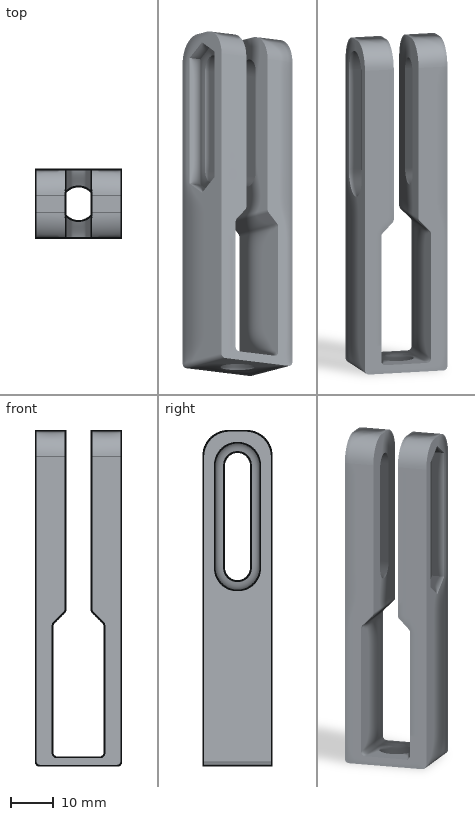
import cadquery as cq
import math

WIDTH = 20.0
DEPTH = 16.0
HEIGHT = 78.0

FLOOR_THICKNESS = 2.0
CHAMBER_WIDTH = 12.0
CHAMBER_SHOULDER_Z = 33.0
GAP_WIDTH = 6.0

ARM_TOP_RADIUS = 6.0
EDGE_RADIUS = 1.0

SLOT_WIDTH = 6.2
SLOT_LENGTH = 30.0
SLOT_TRAVEL = SLOT_LENGTH - SLOT_WIDTH
SLOT_CENTER_Z = 58.0
NUT_ACROSS_FLATS = 10.2
HEX_ANGLE = math.radians(30)
HEAD_RECESS_WIDTH = 10.6
RECESS_DEPTH = 3.0

FLOOR_HOLE_DIAMETER = 8.0


def make_body():
    """Solid block with rounded arm tops and softened bottom side edges."""
    block = cq.Workplane("XY").box(WIDTH, DEPTH, HEIGHT, centered=(True, True, False))
    block = block.edges("|X and >Z").fillet(ARM_TOP_RADIUS)
    return block.edges("|Y and <Z").fillet(EDGE_RADIUS)


def make_opening():
    """Bottle-shaped cutter that separates the arms and hollows out the base."""
    half_chamber = CHAMBER_WIDTH / 2
    half_gap = GAP_WIDTH / 2
    gap_start_z = CHAMBER_SHOULDER_Z + half_chamber - half_gap
    profile = [
        (-half_chamber, FLOOR_THICKNESS),
        (half_chamber, FLOOR_THICKNESS),
        (half_chamber, CHAMBER_SHOULDER_Z),
        (half_gap, gap_start_z),
        (half_gap, HEIGHT),
        (-half_gap, HEIGHT),
        (-half_gap, gap_start_z),
        (-half_chamber, CHAMBER_SHOULDER_Z),
    ]
    cutter = cq.Workplane("XZ").polyline(profile).close().extrude(DEPTH / 2, both=True)
    return cutter.edges("|Y").edges("not >Z").fillet(EDGE_RADIUS)


def make_bolt_slot():
    """Vertical round-ended slot running through both arms."""
    return (
        cq.Workplane("YZ")
        .center(0, SLOT_CENTER_Z)
        .slot2D(SLOT_LENGTH, SLOT_WIDTH, 90)
        .extrude(WIDTH / 2, both=True)
    )


def make_nut_recess():
    """Stretched hexagon that lets a captive nut slide along the bolt slot."""
    half_flats = NUT_ACROSS_FLATS / 2
    side_z = SLOT_TRAVEL / 2 + half_flats * math.tan(HEX_ANGLE)
    tip_z = SLOT_TRAVEL / 2 + half_flats / math.cos(HEX_ANGLE)
    outline = [
        (0, tip_z),
        (half_flats, side_z),
        (half_flats, -side_z),
        (0, -tip_z),
        (-half_flats, -side_z),
        (-half_flats, side_z),
    ]
    return (
        cq.Workplane("YZ", origin=(-WIDTH / 2, 0, SLOT_CENTER_Z))
        .polyline(outline)
        .close()
        .extrude(RECESS_DEPTH)
    )


def make_head_recess():
    """Round-ended recess around the bolt slot, for the bolt head."""
    return (
        cq.Workplane("YZ", origin=(WIDTH / 2, 0, SLOT_CENTER_Z))
        .slot2D(SLOT_TRAVEL + HEAD_RECESS_WIDTH, HEAD_RECESS_WIDTH, 90)
        .extrude(-RECESS_DEPTH)
    )


def make_floor_hole():
    """Round hole through the floor of the chamber."""
    return cq.Workplane("XY").circle(FLOOR_HOLE_DIAMETER / 2).extrude(FLOOR_THICKNESS)


result = (
    make_body()
    .cut(make_opening())
    .cut(make_bolt_slot())
    .cut(make_nut_recess())
    .cut(make_head_recess())
    .cut(make_floor_hole())
)